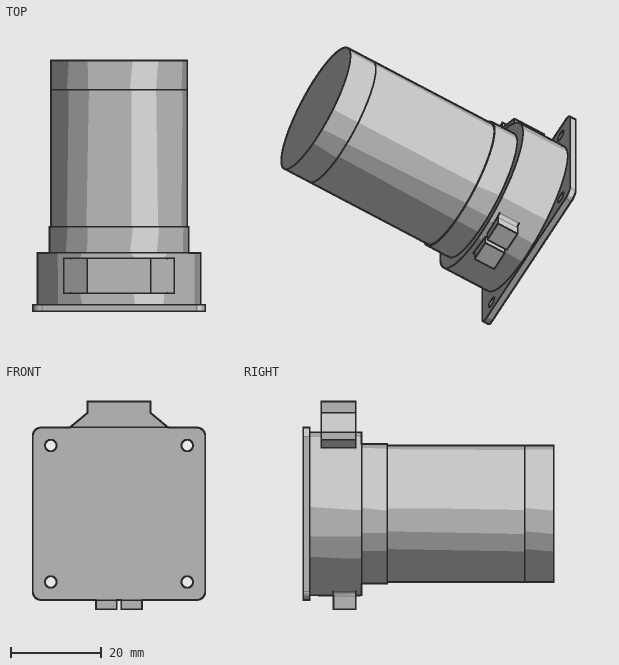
import cadquery as cq
import math

plate_side = 38.0
plate_thickness = 1.5
corner_radius = 2.0
hole_diameter = 2.5
hole_spacing = 30.0

drum_diameter = 36.0
drum_length = 11.35
collar_diameter = 30.75
collar_length = 5.7
tube_diameter = 30.1
cap_length = 6.45
total_length = 55.2

drum_end = plate_thickness + drum_length
collar_end = drum_end + collar_length
cap_start = total_length - cap_length

block_back = 11.65
block_depth = 7.65
block_top = 24.7
block_top_width = 13.95
block_base_width = 24.3
shoulder_top = 22.2
shoulder_bottom = 17.9
wing_bottom = 16.2
undercut_width = 21.2
undercut_bottom = 14.5

lug_width = 4.65
lug_gap = 0.9
lug_depth = 4.95
lug_bottom = -21.0
lug_fillet = 1.0


def cylinder(diameter, start, end):
    """Cylinder on the common axis, from start to end along Y."""
    plane = cq.Plane(origin=(0, start, 0), xDir=(1, 0, 0), normal=(0, 1, 0))
    return cq.Workplane(plane).circle(diameter / 2).extrude(end - start)


def make_plate():
    """Square plate with round corners and four corner holes."""
    plate = (
        cq.Workplane("XZ")
        .rect(plate_side, plate_side)
        .extrude(-plate_thickness)
        .edges("|Y")
        .fillet(corner_radius)
    )
    holes = (
        cq.Workplane("XZ")
        .rect(hole_spacing, hole_spacing, forConstruction=True)
        .vertices()
        .circle(hole_diameter / 2)
        .extrude(-plate_thickness)
    )
    return plate.cut(holes)


def make_connector_block():
    """Block with sloping shoulders and undercut wings, sunk into the drum."""
    half_top = block_top_width / 2
    half_base = block_base_width / 2
    half_undercut = undercut_width / 2
    outline = [
        (-half_undercut, undercut_bottom),
        (-half_base, wing_bottom),
        (-half_base, shoulder_bottom),
        (-half_top, shoulder_top),
        (-half_top, block_top),
        (half_top, block_top),
        (half_top, shoulder_top),
        (half_base, shoulder_bottom),
        (half_base, wing_bottom),
        (half_undercut, undercut_bottom),
    ]
    return cq.Workplane("XZ", origin=(0, block_back, 0)).polyline(outline).close().extrude(block_depth)


def make_lug(center_x):
    """Rectangular lug from the axis height down past the drum."""
    return (
        cq.Workplane("XZ", origin=(center_x, block_back, lug_bottom / 2))
        .rect(lug_width, -lug_bottom)
        .extrude(lug_depth)
    )


def make_lug_fillet(side):
    """Concave fillet between the drum and the outer side face of one lug."""
    drum_radius = drum_diameter / 2
    lug_face = lug_gap / 2 + lug_width
    center_x = lug_face + lug_fillet
    center_distance = drum_radius + lug_fillet
    center_z = -math.sqrt(center_distance**2 - center_x**2)
    drum_share = drum_radius / center_distance
    drum_touch = (side * center_x * drum_share, center_z * drum_share)
    lug_touch = (side * lug_face, center_z)

    lug_angle = math.pi
    drum_angle = math.atan2(-center_z, -center_x)
    middle_angle = (lug_angle + drum_angle) / 2
    middle = (
        side * (center_x + lug_fillet * math.cos(middle_angle)),
        center_z + lug_fillet * math.sin(middle_angle),
    )
    return (
        cq.Workplane("XZ", origin=(0, block_back, 0))
        .moveTo(*lug_touch)
        .threePointArc(middle, drum_touch)
        .lineTo(side * lug_face, 0)
        .close()
        .extrude(lug_depth)
    )


def make_housing():
    """Drum and tube with the collar between them, connector block and lugs."""
    body = cylinder(drum_diameter, plate_thickness, drum_end)
    body = body.union(cylinder(collar_diameter, drum_end, collar_end))
    body = body.union(cylinder(tube_diameter, collar_end, cap_start))
    body = body.union(make_connector_block())
    for side in (-1, 1):
        body = body.union(make_lug(side * (lug_gap + lug_width) / 2))
        body = body.union(make_lug_fillet(side))
    return body


def make_cap():
    """End cap, flush with the tube."""
    return cylinder(tube_diameter, cap_start, total_length)


plate = make_plate()
housing = make_housing()
cap = make_cap()

result = cq.Compound.makeCompound([plate.val(), housing.val(), cap.val()])